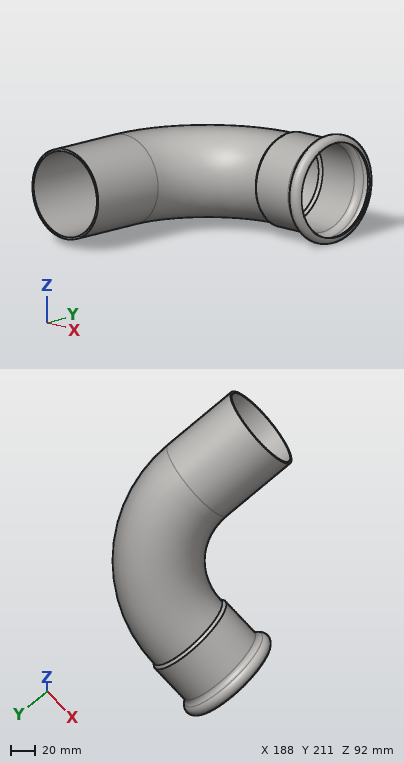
import cadquery as cq
import math

overall_x = 188.0
overall_y = 211.0
tube_radius = 76.2 / 2
wall = 2.0
bend_radius = 95.0

socket_radius = 40.0
step_length = 2.7
flare_start = 38.8
bead_radius = 6.0

spigot_length = overall_y - (socket_radius + bead_radius) - bend_radius
socket_length = overall_x - tube_radius - bend_radius
bead_station = socket_length - bead_radius

flare_run = bead_station - flare_start
flare_radius = (flare_run**2 - bead_radius**2) / (2 * bead_radius)
tangent_angle = math.atan2(flare_radius, flare_run)


def arc_point(center, radius, angle):
    """Point (station, radius) on a circle of the socket's section."""
    return (center[0] + radius * math.cos(angle), center[1] + radius * math.sin(angle))


def ring(center_x, center_y):
    """Tube cross-section facing along Y."""
    plane = cq.Plane(origin=(center_x, center_y, 0), xDir=(1, 0, 0), normal=(0, 1, 0))
    return cq.Workplane(plane).circle(tube_radius).circle(tube_radius - wall)


def make_spigot():
    """Plain straight tube end, running toward -Y from the bend."""
    return ring(0, -bend_radius - spigot_length).extrude(spigot_length)


def make_bend():
    """Quarter-turn elbow from the Y axis to the X axis."""
    return ring(0, -bend_radius).revolve(90, (bend_radius, 0, 0), (bend_radius, 1, 0))


def make_socket():
    """Stepped socket with a flared, rolled bead, revolved about the X axis."""
    bead_center = (bead_station, socket_radius)
    flare_center = (flare_start, socket_radius + flare_radius)
    bead_inner = bead_radius - wall
    flare_outer = flare_radius + wall
    bore = socket_radius - wall

    bead_tangent = math.pi - tangent_angle
    flare_tangent = -tangent_angle
    bead_middle = bead_tangent / 2
    flare_middle = (flare_tangent - math.pi / 2) / 2

    profile = (
        cq.Workplane("XY")
        .moveTo(0, tube_radius - wall)
        .lineTo(0, tube_radius)
        .lineTo(step_length, socket_radius)
        .lineTo(flare_start, socket_radius)
        .threePointArc(
            arc_point(flare_center, flare_radius, flare_middle),
            arc_point(flare_center, flare_radius, flare_tangent),
        )
        .threePointArc(
            arc_point(bead_center, bead_radius, bead_middle),
            arc_point(bead_center, bead_radius, 0),
        )
        .lineTo(bead_station + bead_inner, socket_radius)
        .threePointArc(
            arc_point(bead_center, bead_inner, bead_middle),
            arc_point(bead_center, bead_inner, bead_tangent),
        )
        .threePointArc(
            arc_point(flare_center, flare_outer, flare_middle),
            (flare_start, bore),
        )
        .lineTo(step_length, bore)
        .close()
    )
    socket = profile.revolve(360, (0, 0, 0), (1, 0, 0))
    return socket.translate((bend_radius, 0, 0))


result = make_spigot().union(make_bend()).union(make_socket())